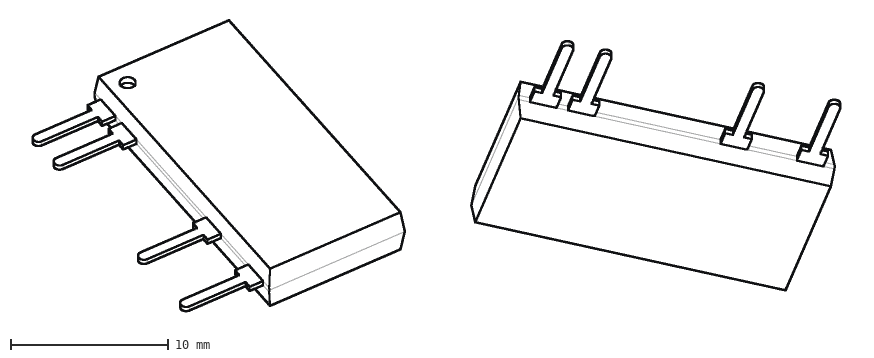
import cadquery as cq
import math

body_length = 21.08
body_width = 10.16
body_height = 3.3
draft_angle = 7.0

overall_width = 15.75
pin_pitch = 2.54
pin_positions = (-3.5 * pin_pitch, -2.5 * pin_pitch, 1.5 * pin_pitch, 3.5 * pin_pitch)
pin_thickness = 0.38
shoulder_width = 1.778
shoulder_length = 1.0
shank_width = 0.762
tip_radius = 0.38

marker_diameter = 1.016
marker_depth = 0.5
marker_front_offset = 1.47

half_height = body_height / 2
body_front_y = -body_width / 2
pin_length = overall_width - body_width

band_inset = pin_thickness / 2 * math.tan(math.radians(draft_angle))


def make_body_half(direction):
    """Half of the body, tapering away from the parting plane; direction is +1 up or -1 down."""
    half = (
        cq.Workplane("XY")
        .center(0, -band_inset / 2)
        .rect(body_length, body_width + band_inset)
        .extrude(direction * half_height, taper=draft_angle)
    )
    keep = cq.Workplane("XY").box(body_length, body_width, body_height)
    return half.intersect(keep)


def make_bar(x, width, length):
    """Flat bar of pin thickness running forward from the front of the body."""
    return cq.Workplane("XY").box(width, length, pin_thickness).translate((x, body_front_y - length / 2, 0))


def make_pin(x):
    """Pin with a wide shoulder at the body and a shank with a rounded tip."""
    shoulder = make_bar(x, shoulder_width, shoulder_length)
    shank = make_bar(x, shank_width, pin_length).faces("<Y").edges("|Z").fillet(tip_radius)
    return shoulder.union(shank)


def make_marker():
    """Cutter for the recess beside the first pin."""
    return (
        cq.Workplane("XY", origin=(pin_positions[0], body_front_y + marker_front_offset, half_height))
        .circle(marker_diameter / 2)
        .extrude(-marker_depth)
    )


result = make_body_half(1).union(make_body_half(-1))
for pin_x in pin_positions:
    result = result.union(make_pin(pin_x))
result = result.cut(make_marker())